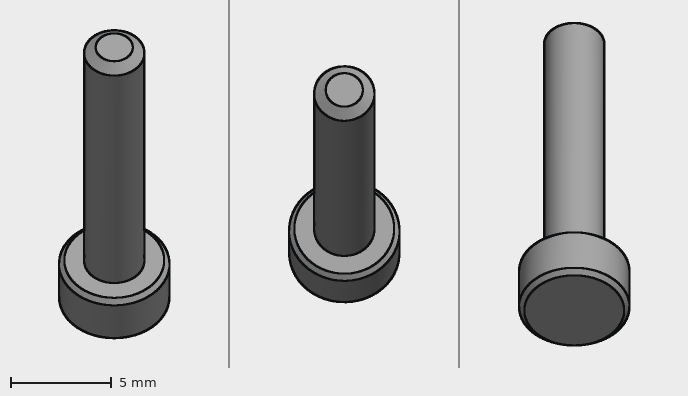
import cadquery as cq

total_length = 19.0
head_height = 3.0
head_diameter = 5.5
shank_diameter = 3.0

head_top_bevel = 0.27
head_bottom_bevel = 0.27
tip_diameter = 1.85
tip_bevel_height = 0.42

head = (
    cq.Workplane("XY")
    .circle(head_diameter / 2)
    .extrude(head_height)
    .faces(">Z")
    .chamfer(head_top_bevel)
    .faces("<Z")
    .chamfer(head_bottom_bevel)
)

tip_bevel_width = (shank_diameter - tip_diameter) / 2
shank = (
    cq.Workplane("XY")
    .workplane(offset=head_height)
    .circle(shank_diameter / 2)
    .extrude(total_length - head_height)
    .faces(">Z")
    .chamfer(tip_bevel_height, tip_bevel_width)
)

result = head.union(shank)